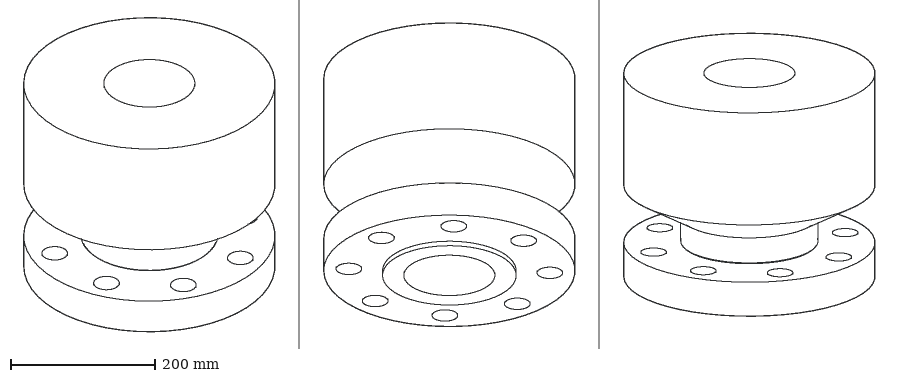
import cadquery as cq

outer_diameter = 349.0
bore_diameter = 126.5
neck_diameter = 190.5
raised_face_diameter = 185.7
neck_base_chamfer = 1.7

raised_face_height = 7.0
flange_thickness = 50.0
neck_height = 38.5
cone_height = 45.5
total_height = 304.8

bolt_count = 8
bolt_hole_diameter = 35.5
bolt_circle_diameter = 279.3

flange_bottom = raised_face_height
flange_top = flange_bottom + flange_thickness
neck_top = flange_top + neck_height
cone_top = neck_top + cone_height
outer_radius = outer_diameter / 2
neck_radius = neck_diameter / 2
raised_face_radius = raised_face_diameter / 2


def make_body():
    """Solid of revolution: raised face, flange, neck, cone and heavy drum."""
    half_profile = (
        cq.Workplane("XZ")
        .moveTo(0, 0)
        .lineTo(raised_face_radius, 0)
        .lineTo(raised_face_radius, flange_bottom)
        .lineTo(outer_radius, flange_bottom)
        .lineTo(outer_radius, flange_top)
        .lineTo(neck_radius - neck_base_chamfer, flange_top)
        .lineTo(neck_radius, flange_top + neck_base_chamfer)
        .lineTo(neck_radius, neck_top)
        .lineTo(outer_radius, cone_top)
        .lineTo(outer_radius, total_height)
        .lineTo(0, total_height)
        .close()
    )
    return half_profile.revolve(360, (0, 0, 0), (0, 1, 0))


def make_bore():
    """Bore running through the full height."""
    return cq.Workplane("XY").circle(bore_diameter / 2).extrude(total_height)


def make_bolt_holes():
    """Bolt holes through the flange only, the first one on +X."""
    return (
        cq.Workplane("XY")
        .workplane(offset=flange_bottom)
        .polarArray(bolt_circle_diameter / 2, 0, 360, bolt_count)
        .circle(bolt_hole_diameter / 2)
        .extrude(flange_thickness)
    )


result = make_body().cut(make_bore()).cut(make_bolt_holes())